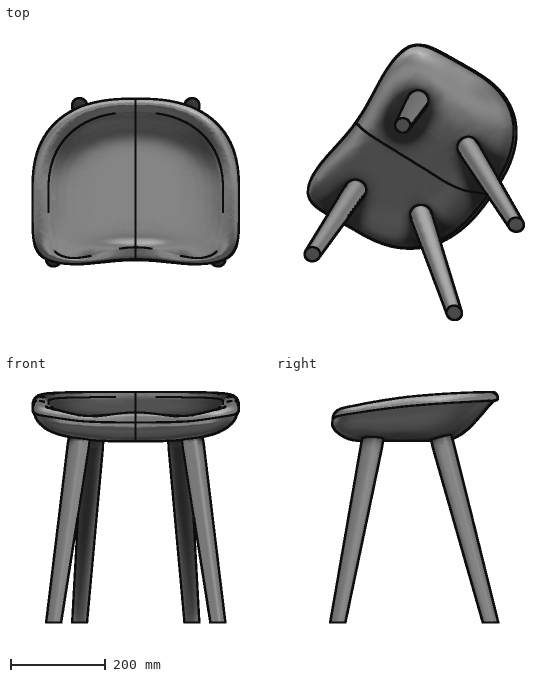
import cadquery as cq
import math


SEAT_WIDTH = 435.0
SEAT_TOP = 486.05
SEAT_BOTTOM = 382.8
BOWL_FLOOR = 431.5

EDGE_BACK = 176.5
EDGE_FRONT = -173.5
WIDEST_Y = -17.0
LIP_INSET = 1.0
LIP_BACK_INSET = 8.5
RIM_WIDTH = 33.5
NOTCH_HALF_WIDTH = 150.0
SAG_REACH = 0.92
RING_STEPS = 24
PLANE_TOLERANCE = 0.001

COLLAR_HEIGHT = 374.0
FRONT_FOOT = (-173.0, -161.0)
FRONT_COLLAR = (-121.0, -89.5)
BACK_FOOT = (-118.3, 161.0)
BACK_COLLAR = (-91.0, 61.0)
FOOT_RADIUS = 15.7
COLLAR_RADIUS = 22.6
LEG_TOP_RADIUS = 21.2
LEG_TOP_LENGTH = 35.0
FOOT_OVERLENGTH = 15.0

WORK_SIZE = 1000.0


def ring(half_width, back, front, back_power, front_power, z_back, z_side, z_front,
         notch=0.0, sag=0.0, hump=0.0):
    """Points of the -X half of a ring around the seat, from the middle of its front to its back.

    In plan, the back and the front are quarter superellipses that meet at the widest place.
    In height, the ring follows a parabola from back to front.  `notch` pulls the middle of
    the front back towards +Y, `hump` lifts it and `sag` lowers the whole front.
    """
    points = []
    for i in range(RING_STEPS + 1):
        angle = math.pi * (i / RING_STEPS - 0.5)
        across = math.cos(angle) if 0 < i < RING_STEPS else 0.0
        along = math.sin(angle)
        power = back_power if along > 0 else front_power
        depth = back - WIDEST_Y if along > 0 else WIDEST_Y - front
        radius = (across ** power + abs(along) ** power) ** (-1 / power)
        x = half_width * radius * across
        share = radius * along
        y = WIDEST_Y + depth * share
        z = z_side + (z_back - z_front) / 2 * share + ((z_back + z_front) / 2 - z_side) * share ** 2
        if along < 0:
            middle = (1 + math.cos(math.pi * min(x / NOTCH_HALF_WIDTH, 1))) / 2
            sagging = (1 - min(x / (SAG_REACH * half_width), 1) ** 4) ** 2
            closeness = share ** 4
            y += notch * middle * closeness
            z += (hump * middle - sag * sagging) * closeness
        points.append(cq.Vector(-x, y, z))
    return points


def blend(first, second, plan, rise):
    """A ring between two rings; `plan` and `rise` are the shares of the way to the second."""
    return [
        cq.Vector(a.x + (b.x - a.x) * plan, a.y + (b.y - a.y) * plan, a.z + (b.z - a.z) * rise)
        for a, b in zip(first, second)
    ]


def ring_edge(points):
    """The smooth curve through a half ring, square to the mirror plane at both ends."""
    start_tangent = cq.Vector(points[1].x, 0, 0)
    end_tangent = cq.Vector(-points[-2].x, 0, 0)
    return cq.Edge.makeSpline(
        points, tangents=[start_tangent, end_tangent], parameters=range(len(points)), scale=False
    )


def skin(rings):
    """The smooth surface through a row of half rings."""
    wires = [cq.Wire.assembleEdges([ring_edge(points)]) for points in rings]
    return cq.occ_impl.shapes.loft(wires, cap=False).Faces()


def flat_cap(points):
    """The flat area inside a level half ring, up to the mirror plane."""
    closing = cq.Edge.makeLine(points[-1], points[0])
    return cq.Face.makeFromWires(cq.Wire.assembleEdges([ring_edge(points), closing]))


def mirror_plane_face(faces):
    """The flat face in X = 0 that closes a half seat."""
    edges = [e for face in faces for e in face.Edges() if e.BoundingBox().xmin > -PLANE_TOLERANCE]
    return cq.Face.makeFromWires(cq.Wire.combine(edges)[0])


EDGE_HALF_WIDTH = SEAT_WIDTH / 2
INNER_HALF_WIDTH = EDGE_HALF_WIDTH - RIM_WIDTH

bottom = ring(
    half_width=72, back=34, front=-108, back_power=2.2, front_power=3,
    z_back=SEAT_BOTTOM, z_side=SEAT_BOTTOM, z_front=SEAT_BOTTOM,
)
lower_belly = ring(
    half_width=150, back=95, front=-148, back_power=2.3, front_power=3.5,
    z_back=394, z_side=394, z_front=389, notch=4,
)
upper_belly = ring(
    half_width=195, back=137, front=-170, back_power=2.4, front_power=5,
    z_back=432, z_side=418, z_front=405, notch=8,
)
lip = ring(
    half_width=EDGE_HALF_WIDTH - LIP_INSET, back=EDGE_BACK - LIP_BACK_INSET, front=EDGE_FRONT,
    back_power=2.5, front_power=6.5, z_back=467, z_side=456, z_front=433, notch=12, sag=11,
)
edge = ring(
    half_width=EDGE_HALF_WIDTH, back=EDGE_BACK, front=EDGE_FRONT,
    back_power=2.5, front_power=6.5, z_back=473, z_side=460, z_front=438, notch=12, sag=13,
)
crest = ring(
    half_width=EDGE_HALF_WIDTH - RIM_WIDTH / 2, back=163, front=-168,
    back_power=2.45, front_power=6.3, z_back=SEAT_TOP, z_side=475.5, z_front=448,
    notch=13, sag=18, hump=9,
)
inner = ring(
    half_width=INNER_HALF_WIDTH, back=148, front=-162.5, back_power=2.3, front_power=7,
    z_back=475, z_side=466, z_front=442, notch=26, sag=18, hump=19,
)
wall = ring(
    half_width=165, back=123, front=-140, back_power=2.2, front_power=4.5,
    z_back=445, z_side=445, z_front=434, notch=14, hump=4,
)
dish = ring(
    half_width=130, back=92, front=-115, back_power=2.2, front_power=3.5,
    z_back=433.5, z_side=433.5, z_front=432,
)
floor = ring(
    half_width=75.7, back=64, front=-80.6, back_power=2, front_power=2.3,
    z_back=BOWL_FLOOR, z_side=BOWL_FLOOR, z_front=BOWL_FLOOR,
)
shoulder = blend(edge, crest, plan=0.3, rise=0.7)


def make_half_seat():
    faces = [flat_cap(bottom), flat_cap(floor)]
    faces += skin([bottom, lower_belly, upper_belly, lip])
    faces += skin([lip, edge, shoulder, crest, inner])
    faces += skin([inner, wall, dish, floor])
    faces.append(mirror_plane_face(faces))
    return cq.Solid.makeSolid(cq.Shell.makeShell(faces))


def make_leg(foot, collar):
    """One leg as a cone up to its collar and a slightly narrowing end above it."""
    foot_point = cq.Vector(foot[0], foot[1], 0)
    collar_point = cq.Vector(collar[0], collar[1], COLLAR_HEIGHT)
    axis = (collar_point - foot_point).normalized()
    start = foot_point - axis * FOOT_OVERLENGTH
    length = (collar_point - start).Length
    shaft = cq.Solid.makeCone(FOOT_RADIUS, COLLAR_RADIUS, length, start, axis)
    end = cq.Solid.makeCone(COLLAR_RADIUS, LEG_TOP_RADIUS, LEG_TOP_LENGTH, collar_point, axis)
    return cq.Workplane(shaft).union(cq.Workplane(end))


def make_left_half():
    half = cq.Workplane(make_half_seat())
    above_floor = cq.Workplane().box(WORK_SIZE, WORK_SIZE, WORK_SIZE, centered=(True, True, False))
    for foot, collar in ((FRONT_FOOT, FRONT_COLLAR), (BACK_FOOT, BACK_COLLAR)):
        half = half.union(make_leg(foot, collar).intersect(above_floor))
    return half


left_half = make_left_half()
right_half = left_half.mirror("YZ")

result = cq.Compound.makeCompound([left_half.val(), right_half.val()])